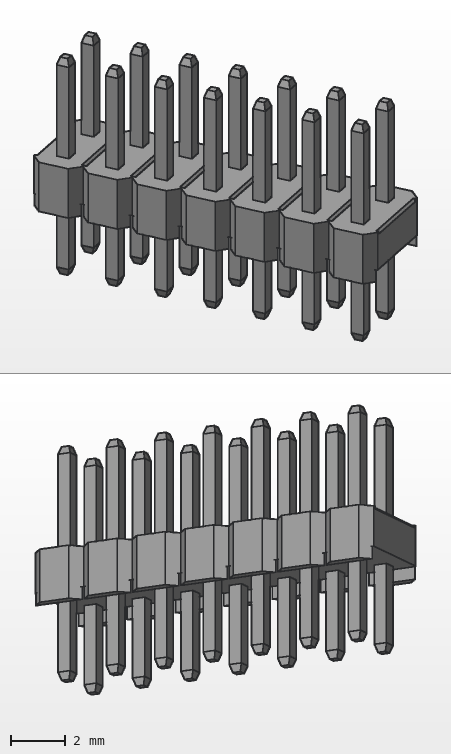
import cadquery as cq


columns = 7
total_length = 14.0
pitch = total_length / columns

housing_width = 2 * pitch
housing_height = pitch
corner_chamfer = 0.4
channel_depth = 0.48
leg_thickness = 0.36
groove_depth = 0.1
groove_end_gap = 0.1

pin_side = 0.5
pin_above_housing = 2 * pitch
pin_below_housing = 2.8
tip_length = 0.3
tip_inset = 0.1

column_positions = [(i - (columns - 1) / 2) * pitch for i in range(columns)]
joint_positions = [(i - columns / 2) * pitch for i in range(columns + 1)]
row_positions = [-pitch / 2, pitch / 2]


def housing_cells():
    """Chain of cells, each one pitch long with chamfered vertical corners."""
    cell = (
        cq.Workplane("XY")
        .box(pitch, housing_width, housing_height, centered=(True, True, False))
        .edges("|Z")
        .chamfer(corner_chamfer)
    )
    cells = cq.Workplane("XY")
    for x in column_positions:
        cells = cells.union(cell.translate((x, 0, 0)))
    return cells


def underside_channel():
    """Channel along the whole underside, leaving a row of legs on each side."""
    channel_width = housing_width - 2 * leg_thickness
    return cq.Workplane("XY").box(
        total_length, channel_width, channel_depth, centered=(True, True, False)
    )


def joint_groove(x):
    """V-groove across the top face where two cells meet, or at an end face."""
    groove_length = housing_width - 2 * (corner_chamfer + groove_end_gap)
    return (
        cq.Workplane("XZ", origin=(x, 0, housing_height))
        .moveTo(-groove_depth, 0)
        .lineTo(groove_depth, 0)
        .lineTo(0, -groove_depth)
        .close()
        .extrude(groove_length / 2, both=True)
    )


def pin():
    """Square pin with a tapered tip at both ends."""
    tip_side = pin_side - 2 * tip_inset
    shank_bottom = tip_length - pin_below_housing
    shank_top = housing_height + pin_above_housing - tip_length
    shank = (
        cq.Workplane("XY")
        .workplane(offset=shank_bottom)
        .rect(pin_side, pin_side)
        .extrude(shank_top - shank_bottom)
    )
    for face in (">Z", "<Z"):
        shank = (
            shank.faces(face)
            .workplane(centerOption="CenterOfBoundBox")
            .rect(pin_side, pin_side)
            .workplane(offset=tip_length)
            .rect(tip_side, tip_side)
            .loft(combine=True)
        )
    return shank


result = housing_cells().cut(underside_channel())
for joint_x in joint_positions:
    result = result.cut(joint_groove(joint_x))

header_pin = pin()
for pin_x in column_positions:
    for pin_y in row_positions:
        result = result.union(header_pin.translate((pin_x, pin_y, 0)))